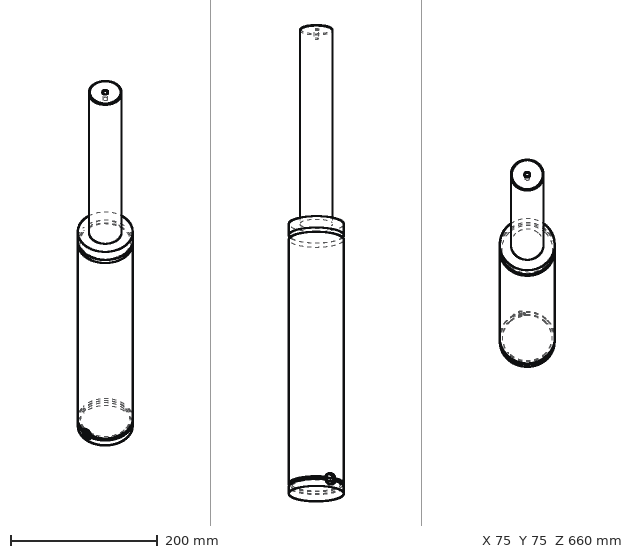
import cadquery as cq

total_height = 660
body_diameter = 75.0
body_height = 383.5
rod_diameter = 45.0
rod_chamfer = 1.0

base_groove_center = 12.0
base_groove_width = 4.0
base_groove_depth = 4.0

top_groove_radius = 3.0
top_groove_drop = 19.0

port_sleeve_diameter = 17.0
port_mouth_diameter = 16.0
port_mouth_depth = 1.0
port_hole_diameter = 14.0
port_hole_depth = 3.0

rod_hole_diameter = 6.5
rod_hole_depth = 13.0
rod_hole_chamfer = 0.8

body_radius = body_diameter / 2


def make_cylinder_and_rod():
    body = cq.Workplane("XY").circle(body_radius).extrude(body_height)
    rod = cq.Workplane("XY").circle(rod_diameter / 2).extrude(total_height)
    rod = rod.faces(">Z").chamfer(rod_chamfer)
    return body.union(rod)


def make_base_groove():
    bottom = base_groove_center - base_groove_width / 2
    return (
        cq.Workplane("XY", origin=(0, 0, bottom))
        .circle(body_radius + base_groove_depth)
        .circle(body_radius - base_groove_depth)
        .extrude(base_groove_width)
    )


def make_top_groove():
    ring = cq.Solid.makeTorus(body_radius, top_groove_radius)
    return cq.Workplane(ring.translate(cq.Vector(0, 0, body_height - top_groove_drop)))


def make_port_sleeve():
    """Ring that bridges the base groove around the port, flush with the body surface."""
    sleeve = (
        cq.Workplane("XZ", origin=(0, 0, base_groove_center))
        .circle(port_sleeve_diameter / 2)
        .circle(port_hole_diameter / 2)
        .extrude(body_diameter)
    )
    return sleeve.intersect(cq.Workplane("XY").circle(body_radius).extrude(body_height))


def make_port_bore(diameter, depth):
    """Round cutter along Y that ends the given depth inside the body surface."""
    return (
        cq.Workplane("XZ", origin=(0, depth - body_radius, base_groove_center))
        .circle(diameter / 2)
        .extrude(body_radius)
    )


def make_rod_hole():
    hole_radius = rod_hole_diameter / 2
    bottom = total_height - rod_hole_depth
    hole = cq.Workplane("XY", origin=(0, 0, bottom)).circle(hole_radius).extrude(rod_hole_depth)
    countersink = cq.Solid.makeCone(
        hole_radius,
        hole_radius + rod_hole_chamfer,
        rod_hole_chamfer,
        pnt=cq.Vector(0, 0, total_height - rod_hole_chamfer),
    )
    return hole.union(cq.Workplane(countersink))


result = (
    make_cylinder_and_rod()
    .cut(make_base_groove())
    .cut(make_top_groove())
    .union(make_port_sleeve())
    .cut(make_port_bore(port_mouth_diameter, port_mouth_depth))
    .cut(make_port_bore(port_hole_diameter, port_hole_depth))
    .cut(make_rod_hole())
)